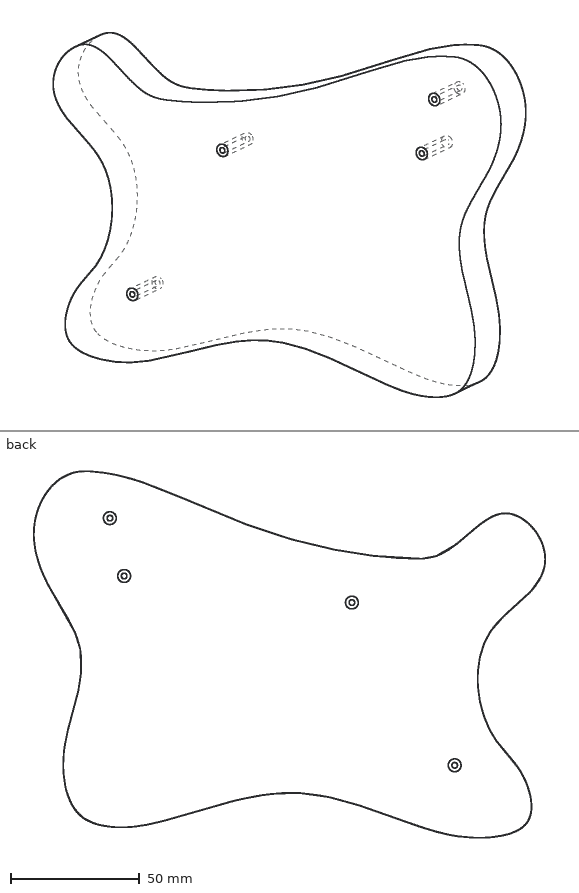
import cadquery as cq

THICKNESS = 20.0

OUTLINE = [
    (77.7, 71.1),
    (88.8, 68.1),
    (98.5, 52.5),
    (93.5, 27.0),
    (81.0, 2.0),
    (82.2, -16.0),
    (87.4, -38.0),
    (79.8, -63.5),
    (68.0, -67.1),
    (43.0, -63.2),
    (-3.5, -53.8),
    (-50.6, -67.0),
    (-75.0, -71.3),
    (-92.8, -65.0),
    (-89.5, -44.9),
    (-80.6, -33.8),
    (-78.5, 9.1),
    (-98.0, 30.2),
    (-99.3, 34.4),
    (-93.0, 50.8),
    (-85.8, 54.6),
    (-57.2, 38.1),
    (-45.9, 37.1),
    (-19.0, 40.3),
    (16.0, 50.2),
    (47.3, 63.2),
]

BUSHING_DIAMETER = 5.0
PIN_DIAMETER = 2.2
PIN_CENTERS = [
    (-24.5, 20.0),
    (69.5, 52.8),
    (64.0, 30.4),
    (-64.3, -43.0),
]


def front_plane():
    """XZ sketch plane on the -Y face; positive extrusion runs toward -Y."""
    return cq.Workplane("XZ", origin=(0, -THICKNESS / 2, 0))


def cylinder_through(center, diameter):
    """Cylinder along Y over the full plate thickness."""
    return front_plane().center(*center).circle(diameter / 2).extrude(-THICKNESS)


def make_plate():
    """Free-form plate with one through hole for each bushing."""
    plate = front_plane().spline(OUTLINE, periodic=True).wire().extrude(-THICKNESS)
    for center in PIN_CENTERS:
        plate = plate.cut(cylinder_through(center, BUSHING_DIAMETER))
    return plate


def make_bushing(center):
    """Ring flush with both plate faces."""
    return cylinder_through(center, BUSHING_DIAMETER).cut(make_pin(center))


def make_pin(center):
    """Pin filling the bore of its bushing."""
    return cylinder_through(center, PIN_DIAMETER)


plate = make_plate()
bushings = [make_bushing(center) for center in PIN_CENTERS]
pins = [make_pin(center) for center in PIN_CENTERS]

result = cq.Compound.makeCompound(
    [plate.val()] + [bushing.val() for bushing in bushings] + [pin.val() for pin in pins]
)